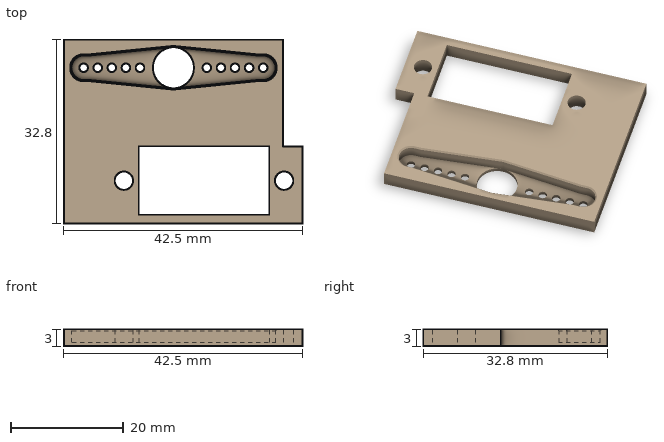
import cadquery as cq

plate_length = 42.5
plate_width = 32.75
plate_thickness = 3.0
main_length = 39.0
tab_width = 13.75

window_length = 23.2
window_width = 12.15
window_center_x = 24.95
window_center_y = tab_width - window_width / 2
screw_diameter = 3.25
screw_spacing = 28.5
screw_center_y = 7.65

recess_center_x = main_length / 2
recess_center_y = plate_width - 5.0
recess_depth = 2.3
recess_half_width = 3.65
recess_end_radius = 2.15
recess_end_straight = 1.2
rim_chamfer = 0.25
rim_box_margin = 0.42

hub_diameter = 7.25
arm_hole_diameter = 1.5
arm_hole_count = 5
arm_hole_pitch = 2.5
last_arm_hole_offset = 16.0


def make_plate():
    outline = [
        (0, 0),
        (plate_length, 0),
        (plate_length, tab_width),
        (main_length, tab_width),
        (main_length, plate_width),
        (0, plate_width),
    ]
    return cq.Workplane("XY").polyline(outline).close().extrude(plate_thickness)


def make_window():
    return (
        cq.Workplane("XY")
        .center(window_center_x, window_center_y)
        .rect(window_length, window_width)
        .extrude(plate_thickness)
    )


def make_holes(center_x, center_y, offsets, diameter):
    """Vertical cylinders in a row along X, at the given offsets from the centre."""
    return (
        cq.Workplane("XY")
        .center(center_x, center_y)
        .pushPoints([(offset, 0) for offset in offsets])
        .circle(diameter / 2)
        .extrude(plate_thickness)
    )


def make_recess():
    """Pocket widest at the hub, tapering to round ends."""
    arc_x = last_arm_hole_offset
    tip_x = arc_x + recess_end_radius
    taper_x = arc_x - recess_end_straight
    end_y = recess_end_radius
    pocket = (
        cq.Workplane("XY", origin=(recess_center_x, recess_center_y, plate_thickness - recess_depth))
        .moveTo(0, recess_half_width)
        .lineTo(taper_x, end_y)
        .lineTo(arc_x, end_y)
        .threePointArc((tip_x, 0), (arc_x, -end_y))
        .lineTo(taper_x, -end_y)
        .lineTo(0, -recess_half_width)
        .lineTo(-taper_x, -end_y)
        .lineTo(-arc_x, -end_y)
        .threePointArc((-tip_x, 0), (-arc_x, end_y))
        .lineTo(-taper_x, end_y)
        .close()
        .extrude(recess_depth)
    )
    return pocket


arm_offsets = []
for index in range(arm_hole_count):
    offset = last_arm_hole_offset - index * arm_hole_pitch
    arm_offsets += [-offset, offset]

screw_offsets = [-screw_spacing / 2, screw_spacing / 2]

recess_rim_box = (
    (rim_box_margin, tab_width + rim_box_margin, 0),
    (main_length - rim_box_margin, plate_width - rim_box_margin, 2 * plate_thickness),
)

result = (
    make_plate()
    .cut(make_window())
    .cut(make_holes(window_center_x, screw_center_y, screw_offsets, screw_diameter))
    .cut(make_recess())
    .faces(">Z")
    .edges(cq.selectors.BoxSelector(*recess_rim_box, boundingbox=True))
    .chamfer(rim_chamfer)
    .cut(make_holes(recess_center_x, recess_center_y, [0], hub_diameter))
    .cut(make_holes(recess_center_x, recess_center_y, arm_offsets, arm_hole_diameter))
)